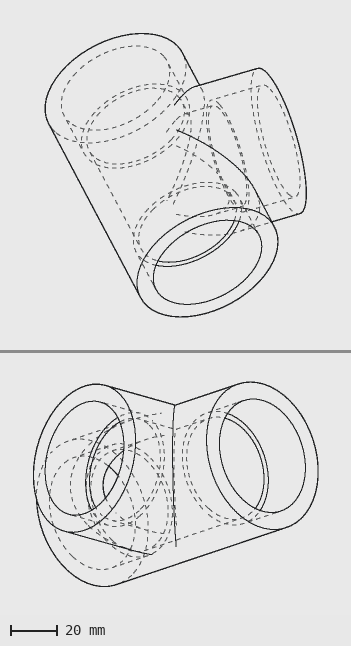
import cadquery as cq

run_length = 108.0
outer_diameter = 65.0
socket_diameter = 50.0
bore_diameter = 45.0
socket_depth = 23.5

end_distance = run_length / 2
shoulder_distance = end_distance - socket_depth


def run_cylinder(diameter, start, end):
    """Cylinder on the X axis between two X positions."""
    return cq.Workplane("YZ", origin=(start, 0, 0)).circle(diameter / 2).extrude(end - start)


def branch_cylinder(diameter, start, end):
    """Cylinder on the Y axis between two Y positions."""
    return cq.Workplane("XZ", origin=(0, start, 0)).circle(diameter / 2).extrude(start - end)


run_body = run_cylinder(outer_diameter, -end_distance, end_distance)
branch_body = branch_cylinder(outer_diameter, 0, end_distance)
body = run_body.union(branch_body)

body = body.cut(run_cylinder(bore_diameter, -end_distance, end_distance))
body = body.cut(branch_cylinder(bore_diameter, 0, end_distance))

body = body.cut(run_cylinder(socket_diameter, -end_distance, -shoulder_distance))
body = body.cut(run_cylinder(socket_diameter, shoulder_distance, end_distance))
body = body.cut(branch_cylinder(socket_diameter, shoulder_distance, end_distance))

result = body